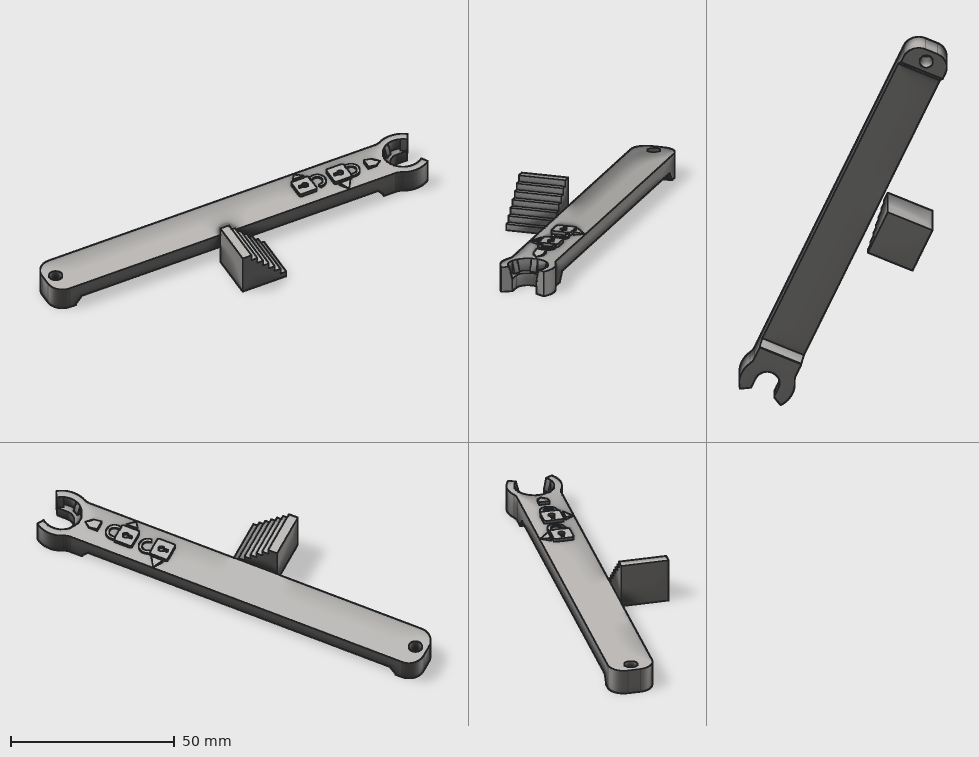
import cadquery as cq
import math


overall_length = 128.1
handle_width = 14.0
wrench_height = 8.0
underside_recess = 3.0
tail_corner_radius = 5.0
hang_hole_diameter = 4.1
hang_hole_from_end = 3.7

recess_start_from_jaw = 10.1
recess_end_from_tail = 7.2
recess_lip = 0.5
ramp_run = 1.9

jaw_diameter = 17.0
jaw_blend_radius = 4.5
throat_radius = 3.8
socket_radius = 6.1
socket_depth = 4.0
rib_width = 2.0
rib_foot_radius = 5.1
rib_pitch_angle = 60
rib_count = 5
first_rib_angle = -210
mouth_angle = 30

symbol_height = 1.0
shackle_height = 0.5
pointer_width = 3.2
pointer_tip_y = -7.8
pointer_shoulder_y = -9.9
pointer_base_y = -12.7
lock_width = 6.3
lock_length = 6.0
lock_corner_radius = 0.6
closed_lock_y = -21.9
lock_pitch = 12.0
shackle_outer_radius = 2.7
shackle_inner_radius = 1.7
shackle_leg = 1.2
open_shackle_angle = 20
keyhole_radius = 0.96
keyhole_offset = 0.4
keyhole_slot_width = 0.9
keyhole_slot_length = 2.0
triangle_base_x = 3.0
triangle_tip_x = 5.3
triangle_half_width = 1.9

gauge_side = 15.0
gauge_height = 14.0
gauge_gap = 1.5
gauge_front_y = -67.9
step_count = 7

half_width = handle_width / 2
jaw_radius = jaw_diameter / 2
pointer_half_width = pointer_width / 2
mouth_offset = rib_width / 2
mouth_along = math.sqrt(jaw_radius**2 - mouth_offset**2)
mouth_sin = math.sin(math.radians(mouth_angle))
mouth_cos = math.cos(math.radians(mouth_angle))
jaw_tip_y = mouth_along * mouth_sin + mouth_offset * mouth_cos
tail_y = jaw_tip_y - overall_length
open_lock_y = closed_lock_y - lock_pitch
gauge_left_x = jaw_radius + gauge_gap
step_size = gauge_height / step_count


def handle_blank():
    """Full-height bar from the jaw axis to the rounded tail."""
    return (
        cq.Workplane("XY")
        .rect(handle_width, -tail_y)
        .extrude(wrench_height)
        .translate((0, tail_y / 2, 0))
        .edges("|Z and <Y")
        .fillet(tail_corner_radius)
    )


def jaw_blend():
    """Web whose concave sides blend the round jaw into the handle."""
    center_x = half_width + jaw_blend_radius
    center_distance = jaw_radius + jaw_blend_radius
    end_y = -math.sqrt(center_distance**2 - center_x**2)
    start_x = center_x * jaw_radius / center_distance
    start_y = end_y * jaw_radius / center_distance
    middle_angle = (math.pi + math.atan2(start_y - end_y, start_x - center_x)) / 2
    middle_x = center_x + jaw_blend_radius * math.cos(middle_angle)
    middle_y = end_y + jaw_blend_radius * math.sin(middle_angle)
    return (
        cq.Workplane("XY")
        .moveTo(-start_x, start_y)
        .lineTo(start_x, start_y)
        .threePointArc((middle_x, middle_y), (half_width, end_y))
        .lineTo(-half_width, end_y)
        .threePointArc((-middle_x, middle_y), (-start_x, start_y))
        .close()
        .extrude(wrench_height)
    )


def underside_cut():
    """Recess under the handle with a ramp at each end."""
    jaw_end = -recess_start_from_jaw
    tail_end = tail_y + recess_end_from_tail
    return (
        cq.Workplane("YZ")
        .polyline([
            (jaw_end, 0),
            (jaw_end, recess_lip),
            (jaw_end - ramp_run, underside_recess),
            (tail_end + ramp_run, underside_recess),
            (tail_end, recess_lip),
            (tail_end, 0),
        ])
        .close()
        .extrude(half_width, both=True)
    )


def throat_cut():
    """Through slot, closed by a half round, that lets the jaw slide over a shaft."""
    slot = (
        cq.Workplane("XY")
        .rect(2 * throat_radius, jaw_radius)
        .extrude(wrench_height)
        .translate((0, jaw_radius / 2, 0))
    )
    return slot.union(cq.Workplane("XY").circle(throat_radius).extrude(wrench_height))


def mouth_cut():
    """V-shaped opening between the two jaw tips."""
    apex_y = mouth_offset / mouth_cos
    reach_y = apex_y + 2 * jaw_radius * mouth_sin
    reach_x = 2 * jaw_radius * mouth_cos
    return (
        cq.Workplane("XY")
        .polyline([(0, apex_y), (reach_x, reach_y), (-reach_x, reach_y)])
        .close()
        .extrude(wrench_height)
    )


def socket_cut():
    """Round socket in the top of the jaw, less the ribs that stand on its wall."""
    floor_z = wrench_height - socket_depth
    socket = cq.Workplane("XY").workplane(offset=floor_z).circle(socket_radius).extrude(socket_depth)
    cone = cq.Workplane(
        cq.Solid.makeCone(rib_foot_radius, socket_radius, socket_depth, cq.Vector(0, 0, floor_z))
    )
    rib_shell = socket.cut(cone)
    for index in range(rib_count):
        rib_slab = (
            cq.Workplane("XY")
            .workplane(offset=floor_z)
            .center(jaw_radius / 2, 0)
            .rect(jaw_radius, rib_width)
            .extrude(socket_depth)
            .rotate((0, 0, 0), (0, 0, 1), first_rib_angle + index * rib_pitch_angle)
        )
        socket = socket.cut(rib_shell.intersect(rib_slab))
    return socket


def hang_hole():
    return (
        cq.Workplane("XY")
        .center(0, tail_y + hang_hole_from_end)
        .circle(hang_hole_diameter / 2)
        .extrude(wrench_height)
    )


def raised(outline, height=symbol_height):
    """Extrude a closed outline from the top face of the handle."""
    return outline.extrude(height).translate((0, 0, wrench_height))


def pointer():
    """House-shaped mark that rises from its tip at the jaw to its base."""
    outline = (
        cq.Workplane("XY")
        .polyline([
            (0, pointer_tip_y),
            (pointer_half_width, pointer_shoulder_y),
            (pointer_half_width, pointer_base_y),
            (-pointer_half_width, pointer_base_y),
            (-pointer_half_width, pointer_shoulder_y),
        ])
        .close()
    )
    ramp = (
        cq.Workplane("YZ")
        .polyline([
            (pointer_tip_y, wrench_height),
            (pointer_base_y, wrench_height),
            (pointer_base_y, wrench_height + symbol_height),
        ])
        .close()
        .extrude(pointer_half_width, both=True)
    )
    return raised(outline).intersect(ramp)


def turn_triangle(side, center_y):
    """Triangle that points to one side and slopes down to its tip."""
    base_x = side * triangle_base_x
    tip_x = side * triangle_tip_x
    outline = (
        cq.Workplane("XY")
        .polyline([
            (base_x, center_y - triangle_half_width),
            (tip_x, center_y),
            (base_x, center_y + triangle_half_width),
        ])
        .close()
    )
    ramp = (
        cq.Workplane("XZ")
        .polyline([
            (base_x, wrench_height),
            (tip_x, wrench_height),
            (base_x, wrench_height + symbol_height),
        ])
        .close()
        .extrude(triangle_half_width, both=True)
        .translate((0, center_y, 0))
    )
    return raised(outline).intersect(ramp)


def lock_body(center_y):
    """Square padlock body with a keyhole."""
    body = (
        raised(cq.Workplane("XY").center(0, center_y).rect(lock_width, lock_length))
        .edges("|Z")
        .fillet(lock_corner_radius)
    )
    keyhole_y = center_y + keyhole_offset
    bow = raised(cq.Workplane("XY").center(0, keyhole_y).circle(keyhole_radius))
    slot = raised(
        cq.Workplane("XY")
        .center(0, keyhole_y - keyhole_slot_length / 2)
        .rect(keyhole_slot_width, keyhole_slot_length)
    )
    return body.cut(bow).cut(slot)


def shackle(center_y):
    """Inverted U on top of a padlock body."""
    foot_y = center_y + lock_length / 2
    bend_y = foot_y + shackle_leg
    outline = (
        cq.Workplane("XY")
        .moveTo(-shackle_outer_radius, foot_y)
        .lineTo(-shackle_outer_radius, bend_y)
        .threePointArc((0, bend_y + shackle_outer_radius), (shackle_outer_radius, bend_y))
        .lineTo(shackle_outer_radius, foot_y)
        .lineTo(shackle_inner_radius, foot_y)
        .lineTo(shackle_inner_radius, bend_y)
        .threePointArc((0, bend_y + shackle_inner_radius), (-shackle_inner_radius, bend_y))
        .lineTo(-shackle_inner_radius, foot_y)
        .close()
    )
    return raised(outline, shackle_height)


def open_shackle(center_y):
    """Shackle swung open about the foot of its left leg."""
    pivot_x = -(shackle_outer_radius + shackle_inner_radius) / 2
    pivot_y = center_y + lock_length / 2
    return shackle(center_y).rotate((pivot_x, pivot_y, 0), (pivot_x, pivot_y, 1), open_shackle_angle)


def wrench():
    body = (
        handle_blank()
        .union(cq.Workplane("XY").circle(jaw_radius).extrude(wrench_height))
        .union(jaw_blend())
        .cut(underside_cut())
        .cut(throat_cut())
        .cut(socket_cut())
        .cut(mouth_cut())
        .cut(hang_hole())
    )
    symbols = [
        pointer(),
        shackle(closed_lock_y),
        lock_body(closed_lock_y),
        turn_triangle(1.3, closed_lock_y),
        open_shackle(open_lock_y),
        lock_body(open_lock_y),
        turn_triangle(-1.3, open_lock_y),
    ]
    for symbol in symbols:
        body = body.union(symbol)
    return body


def step_gauge():
    """Staircase block that descends toward +Y; its top tread takes the spare length."""
    back_y = gauge_front_y + gauge_side
    profile = cq.Workplane("YZ").moveTo(gauge_front_y, 0).lineTo(back_y, 0)
    for step in range(1, step_count):
        tread_back = back_y - (step - 1) * step_size
        profile = (
            profile
            .lineTo(tread_back, step * step_size)
            .lineTo(tread_back - step_size, step * step_size)
        )
    top_tread_back = back_y - (step_count - 1) * step_size
    profile = profile.lineTo(top_tread_back, gauge_height).lineTo(gauge_front_y, gauge_height)
    return profile.close().extrude(gauge_side).translate((gauge_left_x, 0, 0))


result = cq.Compound.makeCompound([wrench().val(), step_gauge().val()])